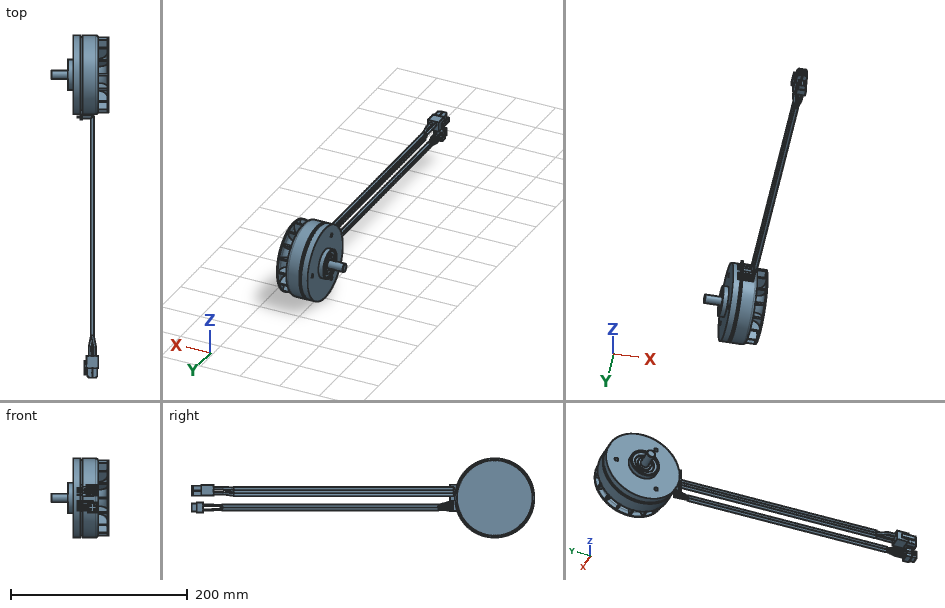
import cadquery as cq
import math

OVERLAP = 1.0

housing_radius = 45.0
housing_rear_x = 28.3
rear_fillet = 3.3
groove_front_x = 8.1
groove_width = 2.0
groove_depth = 2.0
groove_chamfer = 0.6
boss_radius = 17.5
boss_length = 6.0
rim_recess_radius = 15.5
rim_recess_depth = 1.0
bearing_recess_radius = 11.8
bearing_recess_depth = 4.0
mount_hole_diameter = 4.5
mount_hole_depth = 8.0
mount_hole_count = 3
mount_circle_radius = 32.5

shaft_radius = 5.0
shaft_tip_x = -24.7
shaft_tip_chamfer = 0.5
collar_radius = 8.0
collar_length = 3.0
fan_radius = 42.7
fan_rear_x = 40.1
fan_disc_thickness = 1.5
fan_hub_radius = 26.7
blade_count = 16
blade_thickness = 2.0
blade_root_radius = 20.0

plate_height = 30.0
plate_outer_y = -50.6
plate_inner_y = -38.0

lead_pin_tip_x = 4.7
lead_pin_diameter = 1.6
lead_exit_y = -47.7
cable_x = 21.7
plug_hole_depth = 6.0
harness_end_y = -343.0
lead_start_x = groove_front_x + groove_width

power_z = 7.2
power_wire_diameter = 3.7
power_wire_pitch = 3.6
power_sleeve_end_y = -295.0
power_fan_out_y = -308.0
power_tail_diameter = 3.0
power_plug_z = 8.2
power_row_pitch = 5.6
power_skirt_start_y = -318.0
power_skirt_length = 14.0
power_skirt_width = 13.6
power_skirt_height = 12.2
power_skirt_rise = 0.6
power_tower_size = 5.4
power_tower_gap = 0.8
power_tower_chamfer = 2.0
power_hole_diameter = 2.4
latch_start_y = -323.4
latch_length = 16.3
latch_width = 4.4
latch_thickness = 1.9
latch_gap = 0.7
latch_foot_length = 5.0

sensor_z = -10.8
sensor_lead_diameter = 1.8
sensor_lead_count = 5
sensor_entry_z = -8.9
sensor_entry_pitch = 2.4
sensor_jacket_diameter = 3.7
sensor_jacket_pitch = 3.6
sensor_jacket_start_y = -64.0
sensor_jacket_end_y = -308.0
sensor_plug_start_y = -330.0
sensor_fan_out_y = -320.0
sensor_row_pitch = 5.2
sensor_collar_length = 7.3
sensor_collar_width = 10.5
sensor_collar_height = 11.5
sensor_nose_width = 8.4
sensor_nose_height = 9.2
sensor_hole_diameter = 1.6
sensor_hole_pitch = 4.2
sensor_latch_width = 3.2
sensor_latch_length = 9.5
sensor_latch_reach = 1.2


def cylinder_x(radius, start_x, end_x):
    return cq.Workplane("YZ").workplane(offset=start_x).circle(radius).extrude(end_x - start_x)


def box_between(start, end):
    """Box spanning two opposite corners."""
    size = [abs(b - a) for a, b in zip(start, end)]
    centre = tuple((a + b) / 2 for a, b in zip(start, end))
    return cq.Workplane("XY").box(*size).translate(centre)


def plug_box(width, height, start_y, end_y, centre_z):
    """Box centred on the cable line in X and on centre_z in Z."""
    return box_between(
        (cable_x - width / 2, start_y, centre_z - height / 2),
        (cable_x + width / 2, end_y, centre_z + height / 2),
    )


def lead(points, diameter):
    """Round lead along straight runs, with ball-shaped elbows."""
    radius = diameter / 2
    vectors = [cq.Vector(*point) for point in points]
    body = None
    for start, end in zip(vectors, vectors[1:]):
        run = end - start
        rod = cq.Workplane(obj=cq.Solid.makeCylinder(radius, run.Length, start, run))
        body = rod if body is None else body.union(rod)
    for elbow in points[1:-1]:
        body = body.union(cq.Workplane("XY").sphere(radius).translate(elbow))
    return body


def contact_hole(diameter, x, z):
    """Tool for a blind contact hole in the end face of a plug."""
    start = cq.Vector(x, harness_end_y, z)
    return cq.Workplane(obj=cq.Solid.makeCylinder(diameter / 2, plug_hole_depth, start, cq.Vector(0, 1, 0)))


def lead_pin(z):
    """Thin bare end of a lead, passing through the lead plate."""
    pin_end_x = groove_front_x + groove_width + OVERLAP
    return cylinder_x(lead_pin_diameter / 2, lead_pin_tip_x, pin_end_x).translate((0, lead_exit_y, z))


def spread(count, pitch):
    """Evenly spaced positions centred on zero, highest first."""
    return [((count - 1) / 2 - i) * pitch for i in range(count)]


def make_housing():
    groove_rear_x = groove_front_x + groove_width
    groove_radius = housing_radius - groove_depth
    profile = (
        cq.Workplane("XY")
        .moveTo(-boss_length, 0)
        .lineTo(-boss_length, boss_radius)
        .lineTo(0, boss_radius)
        .lineTo(0, housing_radius)
        .lineTo(groove_front_x, housing_radius)
        .lineTo(groove_front_x, groove_radius)
        .lineTo(groove_rear_x, groove_radius)
        .lineTo(groove_rear_x, housing_radius - groove_chamfer)
        .lineTo(groove_rear_x + groove_chamfer, housing_radius)
        .lineTo(housing_rear_x - rear_fillet, housing_radius)
        .radiusArc((housing_rear_x, housing_radius - rear_fillet), rear_fillet)
        .lineTo(housing_rear_x, 0)
        .close()
    )
    body = profile.revolve(360, (0, 0, 0), (1, 0, 0))
    body = body.cut(cylinder_x(rim_recess_radius, -boss_length, rim_recess_depth - boss_length))
    body = body.cut(cylinder_x(bearing_recess_radius, -boss_length, bearing_recess_depth - boss_length))
    body = body.cut(cylinder_x(shaft_radius, -boss_length, housing_rear_x))
    mount_hole = cylinder_x(mount_hole_diameter / 2, 0, mount_hole_depth)
    mount_hole = mount_hole.translate((0, mount_circle_radius, 0))
    for i in range(mount_hole_count):
        body = body.cut(mount_hole.rotate((0, 0, 0), (1, 0, 0), i * 360 / mount_hole_count))
    return body


def make_rotor():
    disc_front_x = fan_rear_x - fan_disc_thickness
    sweep_radius = disc_front_x - housing_rear_x
    arc_middle = (
        housing_rear_x + sweep_radius * math.sin(math.pi / 4),
        fan_hub_radius + sweep_radius * (1 - math.cos(math.pi / 4)),
    )
    fan = (
        cq.Workplane("XY")
        .moveTo(housing_rear_x, 0)
        .lineTo(housing_rear_x, fan_hub_radius)
        .threePointArc(arc_middle, (disc_front_x, fan_hub_radius + sweep_radius))
        .lineTo(disc_front_x, fan_radius)
        .lineTo(fan_rear_x, fan_radius)
        .lineTo(fan_rear_x, 0)
        .close()
        .revolve(360, (0, 0, 0), (1, 0, 0))
    )
    blade = box_between(
        (housing_rear_x, blade_root_radius, -blade_thickness / 2),
        (disc_front_x + OVERLAP, housing_radius, blade_thickness / 2),
    ).intersect(cylinder_x(fan_radius, housing_rear_x, fan_rear_x))
    for i in range(blade_count):
        fan = fan.union(blade.rotate((0, 0, 0), (1, 0, 0), i * 360 / blade_count))
    shaft = cylinder_x(shaft_radius, shaft_tip_x, housing_rear_x + OVERLAP)
    shaft = shaft.faces("<X").chamfer(shaft_tip_chamfer)
    recess_floor_x = bearing_recess_depth - boss_length
    collar = cylinder_x(collar_radius, recess_floor_x - collar_length, recess_floor_x)
    return fan.union(shaft).union(collar)


def make_power_plug():
    skirt_end_y = power_skirt_start_y - power_skirt_length
    skirt_z = power_plug_z + power_skirt_rise
    plug = plug_box(power_skirt_width, power_skirt_height, power_skirt_start_y, skirt_end_y, skirt_z)
    tower_pitch = power_tower_size + power_tower_gap
    for x_offset in spread(2, tower_pitch):
        for z_offset in spread(2, tower_pitch):
            tower = plug_box(
                power_tower_size,
                power_tower_size,
                skirt_end_y + OVERLAP,
                harness_end_y,
                power_plug_z + z_offset,
            ).translate((x_offset, 0, 0))
            outer_side = ">X" if x_offset > 0 else "<X"
            tower = tower.faces(outer_side).edges("<Y").chamfer(power_tower_chamfer)
            hole = contact_hole(power_hole_diameter, cable_x + x_offset, power_plug_z + z_offset)
            plug = plug.union(tower).cut(hole)

    skirt_side_x = cable_x - power_skirt_width / 2
    lever_inner_x = skirt_side_x - latch_gap
    low_z = power_plug_z - latch_width / 2
    high_z = power_plug_z + latch_width / 2
    lever = box_between(
        (lever_inner_x - latch_thickness, latch_start_y, low_z),
        (lever_inner_x, latch_start_y - latch_length, high_z),
    )
    foot = box_between(
        (lever_inner_x - latch_thickness, skirt_end_y, low_z),
        (skirt_side_x + OVERLAP, skirt_end_y + latch_foot_length, high_z),
    )
    return plug.union(lever).union(foot)


def make_power_harness():
    harness = make_power_plug()
    columns = spread(2, power_row_pitch)
    rows = spread(2, power_row_pitch)
    cavities = [(columns[0], rows[0]), (columns[1], rows[0]), (columns[0], rows[1])]
    for z_offset, (cavity_x, cavity_z) in zip(spread(3, power_wire_pitch), cavities):
        wire_z = power_z + z_offset
        wire = lead(
            [
                (lead_start_x, lead_exit_y, wire_z),
                (cable_x, lead_exit_y, wire_z),
                (cable_x, power_sleeve_end_y, wire_z),
            ],
            power_wire_diameter,
        )
        tail_x = cable_x + cavity_x
        tail_z = power_plug_z + cavity_z
        tail = lead(
            [
                (cable_x, power_sleeve_end_y + OVERLAP, wire_z),
                (tail_x, power_fan_out_y, tail_z),
                (tail_x, power_skirt_start_y - OVERLAP, tail_z),
            ],
            power_tail_diameter,
        )
        harness = harness.union(wire).union(lead_pin(wire_z)).union(tail)
    return harness


def make_sensor_plug():
    collar_end_y = sensor_plug_start_y - sensor_collar_length
    collar = plug_box(sensor_collar_width, sensor_collar_height, sensor_plug_start_y, collar_end_y, sensor_z)
    nose = plug_box(sensor_nose_width, sensor_nose_height, collar_end_y + OVERLAP, harness_end_y, sensor_z)
    nose_side_x = cable_x - sensor_nose_width / 2
    latch = box_between(
        (nose_side_x - sensor_latch_reach, sensor_plug_start_y - OVERLAP, sensor_z - sensor_latch_width / 2),
        (
            nose_side_x + OVERLAP,
            sensor_plug_start_y - OVERLAP - sensor_latch_length,
            sensor_z + sensor_latch_width / 2,
        ),
    )
    plug = collar.union(nose).union(latch)
    for x_offset in spread(2, sensor_hole_pitch):
        for z_offset in spread(2, sensor_hole_pitch):
            plug = plug.cut(contact_hole(sensor_hole_diameter, cable_x + x_offset, sensor_z + z_offset))
    return plug


def make_sensor_harness():
    harness = make_sensor_plug()
    jacket_heights = [sensor_z + offset for offset in spread(2, sensor_jacket_pitch)]
    for jacket_z in jacket_heights:
        jacket = lead(
            [(cable_x, sensor_jacket_start_y, jacket_z), (cable_x, sensor_jacket_end_y, jacket_z)],
            sensor_jacket_diameter,
        )
        harness = harness.union(jacket)

    leads_in_upper_jacket = math.ceil(sensor_lead_count / 2)
    for i, z_offset in enumerate(spread(sensor_lead_count, sensor_entry_pitch)):
        entry_z = sensor_entry_z + z_offset
        jacket_z = jacket_heights[0] if i < leads_in_upper_jacket else jacket_heights[1]
        harness = harness.union(lead_pin(entry_z))
        harness = harness.union(
            lead(
                [
                    (lead_start_x, lead_exit_y, entry_z),
                    (cable_x, lead_exit_y, entry_z),
                    (cable_x, sensor_jacket_start_y - OVERLAP, jacket_z),
                ],
                sensor_lead_diameter,
            )
        )

    for jacket_z, row_offset in zip(jacket_heights, spread(2, sensor_row_pitch)):
        for column_offset in spread(2, sensor_row_pitch):
            tail_x = cable_x + column_offset
            tail_z = sensor_z + row_offset
            harness = harness.union(
                lead(
                    [
                        (cable_x, sensor_jacket_end_y + OVERLAP, jacket_z),
                        (tail_x, sensor_fan_out_y, tail_z),
                        (tail_x, sensor_plug_start_y - OVERLAP, tail_z),
                    ],
                    sensor_lead_diameter,
                )
            )
    return harness


def make_lead_plate(*neighbours):
    """Plate filling the groove width; neighbours leave their own seats and holes in it."""
    plate = box_between(
        (groove_front_x, plate_inner_y, -plate_height / 2),
        (groove_front_x + groove_width, plate_outer_y, plate_height / 2),
    )
    for neighbour in neighbours:
        plate = plate.cut(neighbour)
    return plate


housing = make_housing()
rotor = make_rotor()
power_harness = make_power_harness()
sensor_harness = make_sensor_harness()
lead_plate = make_lead_plate(housing, power_harness, sensor_harness)

bodies = [housing, rotor, lead_plate, power_harness, sensor_harness]
result = cq.Compound.makeCompound([solid for body in bodies for solid in body.solids().vals()])